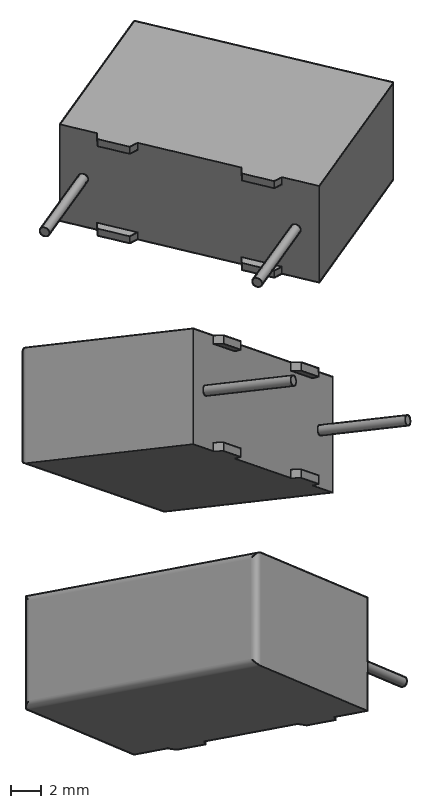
import cadquery as cq

width = 18.3
total_length = 19.6
height = 7.7

lead_length = 6.59
lead_diameter = 0.7
lead_spacing = 15.0

housing_length = total_length - lead_length
back_radius = 0.45

foot_spacing = 10.2
foot_base_width = 2.86
foot_tip_width = 2.27
foot_length = 0.6
foot_thickness = 0.57


def make_foot(x_center, z_bottom):
    """Standoff foot: a trapezoid pointing to -Y from the front face at Y = 0."""
    half_base = foot_base_width / 2
    half_tip = foot_tip_width / 2
    return (
        cq.Workplane("XY", origin=(x_center, 0, z_bottom))
        .moveTo(-half_base, 0)
        .lineTo(-half_tip, -foot_length)
        .lineTo(half_tip, -foot_length)
        .lineTo(half_base, 0)
        .close()
        .extrude(foot_thickness)
    )


def make_housing():
    """Box with a rounded back and four feet flush with its top and bottom."""
    body = (
        cq.Workplane("XY")
        .box(width, housing_length, height, centered=(True, False, True))
        .faces(">Y")
        .edges()
        .fillet(back_radius)
    )
    for x_center in (-foot_spacing / 2, foot_spacing / 2):
        for z_bottom in (-height / 2, height / 2 - foot_thickness):
            body = body.union(make_foot(x_center, z_bottom))
    return body


def make_lead(x_center):
    """Round lead standing on the front face of the housing at mid height."""
    return (
        cq.Workplane("XZ", origin=(x_center, 0, 0))
        .circle(lead_diameter / 2)
        .extrude(lead_length)
    )


housing = make_housing()
leads = [make_lead(x_center) for x_center in (-lead_spacing / 2, lead_spacing / 2)]

result = cq.Compound.makeCompound([housing.val(), *[lead.val() for lead in leads]])